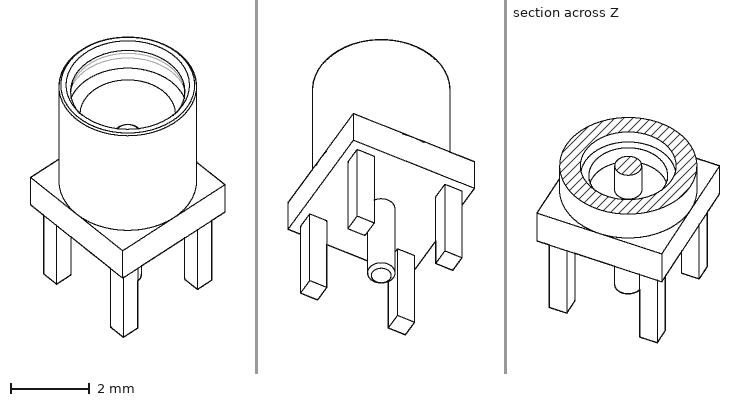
import cadquery as cq

base_side = 3.5
base_bottom = 2.5
base_thickness = 1.0
base_top = base_bottom + base_thickness

leg_side = 0.5
leg_offset = 1.27

total_height = 7.0
barrel_radius = base_side / 2
rim_chamfer = 0.05

mouth_radius = 1.57
throat_radius = 2.905 / 2
groove_radius = 3.025 / 2
bore_radius = 2.42 / 2
floor_recess_radius = 2.0 / 2

throat_depth = 0.23
throat_end_depth = 0.335
groove_full_depth = 0.57
groove_end_depth = 0.94
bore_start_depth = 1.06
bore_depth = 3.0
floor_recess_depth = total_height - base_top

pin_diameter = 0.7
pin_top = 5.25
pin_top_chamfer = 0.05
pin_tail_chamfer = 0.1


def make_base():
    return (
        cq.Workplane("XY")
        .workplane(offset=base_bottom)
        .rect(base_side, base_side)
        .extrude(base_thickness)
    )


def make_legs():
    """Four square legs, one near each corner of the base."""
    return (
        cq.Workplane("XY")
        .rect(2 * leg_offset, 2 * leg_offset, forConstruction=True)
        .vertices()
        .rect(leg_side, leg_side)
        .extrude(base_bottom)
    )


def make_barrel():
    return (
        cq.Workplane("XY")
        .workplane(offset=base_top)
        .circle(barrel_radius)
        .extrude(total_height - base_top)
        .faces(">Z")
        .chamfer(rim_chamfer)
    )


def make_socket():
    """Revolved cavity: flared mouth, snap groove, tapered lead-in and stepped bore."""
    steps = [
        (mouth_radius, 0),
        (throat_radius, throat_depth),
        (throat_radius, throat_end_depth),
        (groove_radius, groove_full_depth),
        (groove_radius, groove_end_depth),
        (bore_radius, bore_start_depth),
        (bore_radius, bore_depth),
        (floor_recess_radius, bore_depth),
        (floor_recess_radius, floor_recess_depth),
    ]
    profile = [(radius, total_height - depth) for radius, depth in steps]
    axis_ends = [(0, base_top), (0, total_height)]
    return cq.Workplane("XZ").polyline(profile + axis_ends).close().revolve(360, (0, 0), (0, 1))


def make_pin():
    """Centre contact running from the leg tips up into the socket."""
    return (
        cq.Workplane("XY")
        .circle(pin_diameter / 2)
        .extrude(pin_top)
        .faces(">Z")
        .chamfer(pin_top_chamfer)
        .faces("<Z")
        .chamfer(pin_tail_chamfer)
    )


body = make_base().union(make_barrel()).cut(make_socket())
result = body.union(make_legs()).union(make_pin())